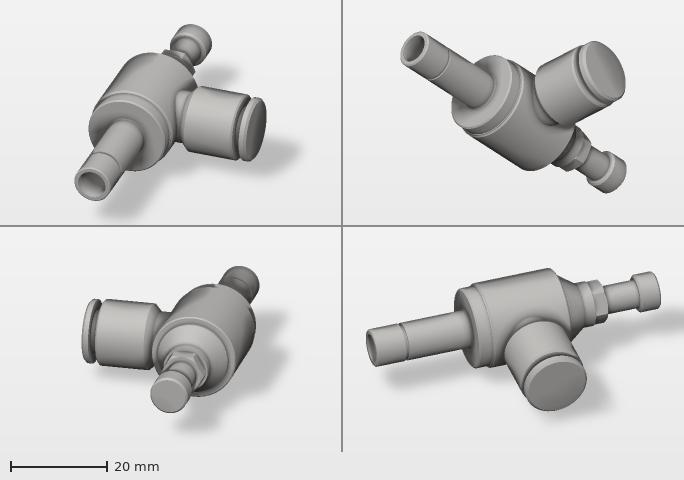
import cadquery as cq
import math


KNOB_RADIUS = 4.0
KNOB_TOP = 30.0
KNOB_LENGTH = 4.5
KNOB_CHAMFER = 0.4
STEM_RADIUS = 3.0

NUT_SIDES = 6
NUT_ACROSS_FLATS = 8.0
NUT_THICKNESS = 3.0
NUT_CHAMFER_ANGLE = 30.0

COLLAR_RADIUS = 4.75
COLLAR_TOP = 15.25
CONE_TOP = 13.0
CONE_BOTTOM = 9.2
CONE_RADIUS = 7.5

BODY_RADIUS = 9.0
BODY_TOP = 8.5
BODY_TOP_CHAMFER = 0.25
BODY_BOTTOM = -8.65
BODY_BOTTOM_LAND = 0.2
BODY_BOTTOM_CHAMFER = 0.3
RING_RADIUS = 8.5
RING_BOTTOM = -11.55
RING_CHAMFER = 0.3

TUBE_RADIUS = 4.0
TUBE_END = -32.45
TUBE_END_CHAMFER = 0.25
TUBE_BORE_RADIUS = 3.0
TUBE_ROOT_HEIGHT = 0.2
TUBE_ROOT_RADIUS = 4.3
GROOVE_TOP = -25.4
GROOVE_WIDTH = 0.7
GROOVE_RADIUS = 3.6

NECK_RADIUS = 5.5
NECK_END = 9.6
SOCKET_RADIUS = 7.0
SOCKET_START = 11.1
SOCKET_END = 21.6
SOCKET_CHAMFER = 0.35
SLEEVE_RADIUS = 4.6
UNDERCUT_RADIUS = 4.5
UNDERCUT_WIDTH = 0.3
FLANGE_RADIUS = 6.75
FLANGE_START = 23.1
FLANGE_END = 24.6
FLANGE_CHAMFER = 0.5


def turned_on_y(stations):
    """Solid of revolution about Y from (y, radius) stations."""
    outline = [(0, stations[0][0])]
    outline += [(radius, y) for y, radius in stations]
    outline.append((0, stations[-1][0]))
    return cq.Workplane("XY").polyline(outline).close().revolve(360, (0, 0), (0, 1))


def turned_on_x(stations):
    """Solid of revolution about X from (x, radius) stations."""
    outline = [(stations[0][0], 0)] + stations + [(stations[-1][0], 0)]
    return cq.Workplane("XY").polyline(outline).close().revolve(360, (0, 0), (1, 0))


def make_knob():
    bottom = KNOB_TOP - KNOB_LENGTH
    chamfered_radius = KNOB_RADIUS - KNOB_CHAMFER
    return turned_on_y([
        (KNOB_TOP, chamfered_radius),
        (KNOB_TOP - KNOB_CHAMFER, KNOB_RADIUS),
        (bottom + KNOB_CHAMFER, KNOB_RADIUS),
        (bottom, chamfered_radius),
        (bottom, STEM_RADIUS),
        (COLLAR_TOP, STEM_RADIUS),
    ])


def make_nut():
    slope = math.tan(math.radians(NUT_CHAMFER_ANGLE))
    face_radius = NUT_ACROSS_FLATS / 2
    corner_radius = face_radius / math.cos(math.pi / NUT_SIDES)
    drop = (corner_radius - face_radius) * slope
    nut_top = COLLAR_TOP + NUT_THICKNESS
    hexagon = (
        cq.Workplane("XZ", origin=(0, nut_top, 0))
        .polygon(NUT_SIDES, 2 * corner_radius)
        .extrude(NUT_THICKNESS)
    )
    envelope = turned_on_y([
        (nut_top, face_radius),
        (nut_top - drop, corner_radius),
        (COLLAR_TOP + drop, corner_radius),
        (COLLAR_TOP, face_radius),
    ])
    return hexagon.intersect(envelope)


def make_body():
    land_top = BODY_BOTTOM + BODY_BOTTOM_LAND
    land_radius = BODY_RADIUS - BODY_BOTTOM_CHAMFER
    return turned_on_y([
        (COLLAR_TOP, COLLAR_RADIUS),
        (CONE_TOP, COLLAR_RADIUS),
        (CONE_BOTTOM, CONE_RADIUS),
        (BODY_TOP, CONE_RADIUS),
        (BODY_TOP, BODY_RADIUS - BODY_TOP_CHAMFER),
        (BODY_TOP - BODY_TOP_CHAMFER, BODY_RADIUS),
        (land_top + BODY_BOTTOM_CHAMFER, BODY_RADIUS),
        (land_top, land_radius),
        (BODY_BOTTOM, land_radius),
        (BODY_BOTTOM, RING_RADIUS),
        (RING_BOTTOM + RING_CHAMFER, RING_RADIUS),
        (RING_BOTTOM, RING_RADIUS - RING_CHAMFER),
    ])


def make_tube():
    groove_bottom = GROOVE_TOP - GROOVE_WIDTH
    return turned_on_y([
        (RING_BOTTOM, TUBE_ROOT_RADIUS),
        (RING_BOTTOM - TUBE_ROOT_HEIGHT, TUBE_RADIUS),
        (GROOVE_TOP, TUBE_RADIUS),
        (GROOVE_TOP, GROOVE_RADIUS),
        (groove_bottom, GROOVE_RADIUS),
        (groove_bottom, TUBE_RADIUS),
        (TUBE_END + TUBE_END_CHAMFER, TUBE_RADIUS),
        (TUBE_END, TUBE_RADIUS - TUBE_END_CHAMFER),
    ])


def make_tube_bore():
    return turned_on_y([
        (RING_BOTTOM, TUBE_BORE_RADIUS),
        (TUBE_END, TUBE_BORE_RADIUS),
    ])


def make_branch():
    return turned_on_x([
        (0, NECK_RADIUS),
        (NECK_END, NECK_RADIUS),
        (SOCKET_START, SOCKET_RADIUS),
        (SOCKET_END - SOCKET_CHAMFER, SOCKET_RADIUS),
        (SOCKET_END, SOCKET_RADIUS - SOCKET_CHAMFER),
        (SOCKET_END, SLEEVE_RADIUS),
        (FLANGE_START - UNDERCUT_WIDTH, SLEEVE_RADIUS),
        (FLANGE_START - UNDERCUT_WIDTH, UNDERCUT_RADIUS),
        (FLANGE_START, UNDERCUT_RADIUS),
        (FLANGE_START, FLANGE_RADIUS),
        (FLANGE_END - FLANGE_CHAMFER, FLANGE_RADIUS),
        (FLANGE_END, FLANGE_RADIUS - FLANGE_CHAMFER),
    ])


fitting = make_body()
for piece in (make_knob(), make_nut(), make_tube(), make_branch()):
    fitting = fitting.union(piece)

result = fitting.cut(make_tube_bore())